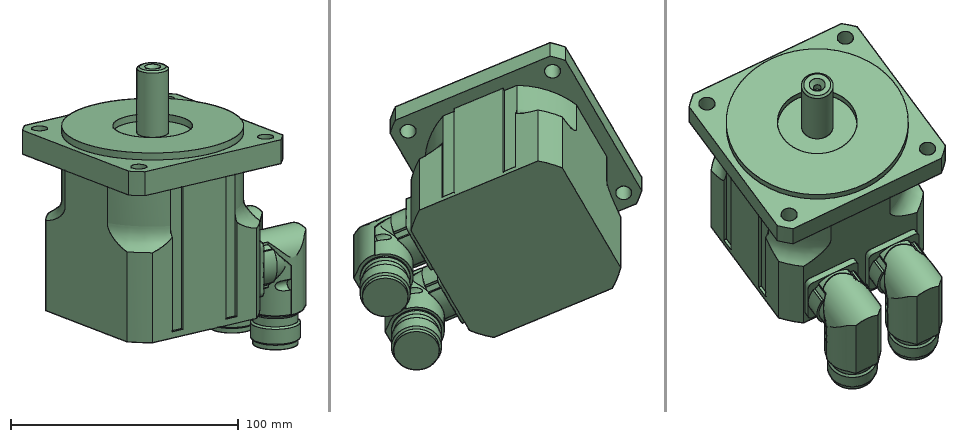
import cadquery as cq
import math


flange_side = 86.0
flange_corner_radius = 57.3
flange_thickness = 11.0
pilot_diameter = 80.0
pilot_height = 3.2
pilot_recess_diameter = 35.0
pilot_recess_depth = 3.2
mounting_hole_diameter = 7.0
mounting_hole_pitch = 70.7

shaft_diameter = 14.0
shaft_length = 30.4
shaft_chamfer_radial = 1.1
shaft_chamfer_height = 0.8
center_hole_mouth = 7.0
center_hole_diameter = 3.2
countersink_depth = 2.2
center_hole_depth = 5.4

housing_width = 74.1
housing_bottom = -82.0
housing_corner_radius = 47.1
relief_radius = pilot_diameter / 2
relief_straight_bottom = -30.8
relief_fillet = 10.2
groove_inner = 12.0
groove_outer = 18.0
groove_depth = 1.3
groove_bottom = -79.1

connector_spacing = 31.1
connector_y = 56.4
connector_z = -64.2
body_bottom = -23.5
core_radius = 12.2
core_top = 2.7
arm_radius = 11.7
nut_radius = 12.8
nut_end = -9.0
notch_inner = 7.5
notch_chamfer = 1.7
plate_thickness = 2.8
plate_corner = 2.5
cover_radius = 12.6
cover_top_radius = 12.9
cover_back = 12.6
cover_back_half_width = 5.6
cover_facet_start = 9.5
cover_split = -1.0
cover_miter_top = -15.3
screw_groove_radius = 2.4
screw_groove_x = 12.0
screw_groove_z = -9.8

plug_ring_radius = 11.0
plug_neck_radius = 20.0 / 2
plug_collar_height = 1.0
plug_cone_height = 1.1
plug_neck_height = 3.8
plug_ring_chamfer = 0.8
plug_ring_height = 6.9
plug_length = 16.4

arm_start = housing_width / 2 - connector_y


def cylinder_z(radius, bottom, top):
    return cq.Workplane("XY").workplane(offset=bottom).circle(radius).extrude(top - bottom)


def cylinder_y(radius, start, end, x=0, z=0):
    plane = cq.Plane(origin=(x, start, z), xDir=(1, 0, 0), normal=(0, 1, 0))
    return cq.Workplane(plane).circle(radius).extrude(end - start)


def block(x_range, y_range, z_range):
    size = [high - low for low, high in (x_range, y_range, z_range)]
    return cq.Workplane("XY").box(*size, centered=False).translate((x_range[0], y_range[0], z_range[0]))


def make_flange():
    plate = cq.Workplane("XY").rect(flange_side, flange_side).extrude(-flange_thickness)
    plate = plate.intersect(cylinder_z(flange_corner_radius, -flange_thickness, 0))
    holes = (
        cq.Workplane("XY")
        .rect(mounting_hole_pitch, mounting_hole_pitch, forConstruction=True)
        .vertices()
        .circle(mounting_hole_diameter / 2)
        .extrude(-flange_thickness)
    )
    pilot = cylinder_z(pilot_diameter / 2, 0, pilot_height)
    recess = cylinder_z(pilot_recess_diameter / 2, pilot_height - pilot_recess_depth, pilot_height)
    return plate.cut(holes).union(pilot).cut(recess)


def make_shaft():
    """Chamfered shaft with a countersunk center hole in its end."""
    radius = shaft_diameter / 2
    mouth = center_hole_mouth / 2
    bore = center_hole_diameter / 2
    outline = [
        (0, -flange_thickness),
        (radius, -flange_thickness),
        (radius, shaft_length - shaft_chamfer_height),
        (radius - shaft_chamfer_radial, shaft_length),
        (mouth, shaft_length),
        (bore, shaft_length - countersink_depth),
        (bore, shaft_length - center_hole_depth),
        (0, shaft_length - center_hole_depth),
    ]
    return cq.Workplane("XZ").polyline(outline).close().revolve(360, (0, 0), (0, 1))


def make_round_core():
    """Body of revolution that rounds the housing corners and narrows below the flange."""
    corner_step = housing_corner_radius - relief_radius
    fillet_drop = math.sqrt(relief_fillet**2 - (relief_fillet - corner_step) ** 2)
    half_angle = math.asin(fillet_drop / relief_fillet) / 2
    fillet_middle = (
        relief_radius + relief_fillet * (1 - math.cos(half_angle)),
        relief_straight_bottom - relief_fillet * math.sin(half_angle),
    )
    return (
        cq.Workplane("XZ")
        .moveTo(0, housing_bottom)
        .lineTo(housing_corner_radius, housing_bottom)
        .lineTo(housing_corner_radius, relief_straight_bottom - fillet_drop)
        .threePointArc(fillet_middle, (relief_radius, relief_straight_bottom))
        .lineTo(relief_radius, -flange_thickness)
        .lineTo(0, -flange_thickness)
        .close()
        .revolve(360, (0, 0), (0, 1))
    )


def make_motor():
    half = housing_width / 2
    housing = block((-half, half), (-half, half), (housing_bottom, -flange_thickness))
    housing = housing.intersect(make_round_core())
    for x_range in ((-half, groove_depth - half), (half - groove_depth, half)):
        for y_range in ((-groove_outer, -groove_inner), (groove_inner, groove_outer)):
            housing = housing.cut(block(x_range, y_range, (groove_bottom, -flange_thickness)))
    return housing.union(make_flange()).union(make_shaft())


def make_nut():
    """Mounting plate and round nut with a chamfered notch at each of its four corners."""
    plate_end = arm_start + plate_thickness
    plate = block((-nut_radius, nut_radius), (arm_start, plate_end), (-nut_radius, nut_radius))
    plate = plate.edges("|Y").fillet(plate_corner)
    nut = cylinder_y(nut_radius, plate_end, nut_end)
    notch = (
        cq.Workplane("XZ", origin=(0, nut_end, 0))
        .moveTo(notch_inner, nut_radius)
        .lineTo(notch_inner, notch_inner + notch_chamfer)
        .lineTo(notch_inner + notch_chamfer, notch_inner)
        .lineTo(nut_radius, notch_inner)
        .lineTo(nut_radius, nut_radius)
        .close()
        .extrude(nut_end - plate_end)
    )
    for quarter in range(4):
        nut = nut.cut(notch.rotate((0, 0, 0), (0, 1, 0), 90 * quarter))
    return plate.union(nut)


def make_cover():
    """Larger back and top of the elbow, ending at a vertical step and a sloping step."""
    shoulder_y = -math.sqrt(cover_radius**2 - notch_inner**2)
    facet_x = math.sqrt(cover_radius**2 - cover_facet_start**2)
    height = cover_top_radius - body_bottom
    column = (
        cq.Workplane("XY", origin=(0, 0, body_bottom))
        .moveTo(notch_inner, cover_miter_top)
        .lineTo(notch_inner, shoulder_y)
        .threePointArc((cover_radius, 0), (facet_x, cover_facet_start))
        .lineTo(cover_back_half_width, cover_back)
        .lineTo(-cover_back_half_width, cover_back)
        .lineTo(-facet_x, cover_facet_start)
        .threePointArc((-cover_radius, 0), (-notch_inner, shoulder_y))
        .lineTo(-notch_inner, cover_miter_top)
        .close()
        .extrude(height)
    )
    side_outline = [
        (cover_back, body_bottom),
        (cover_split, body_bottom),
        (cover_split, cover_split),
        (cover_miter_top, cover_top_radius),
        (cover_back, cover_top_radius),
    ]
    side = (
        cq.Workplane("YZ", origin=(-cover_top_radius, 0, 0))
        .polyline(side_outline)
        .close()
        .extrude(2 * cover_top_radius)
    )
    y_range = (cover_miter_top, cover_back)
    rounded_top = cylinder_y(cover_top_radius, *y_range).union(
        block((-cover_top_radius, cover_top_radius), y_range, (body_bottom, 0))
    )
    return column.intersect(side).intersect(rounded_top)


def make_plug():
    collar_bottom = body_bottom - plug_collar_height
    cone_bottom = collar_bottom - plug_cone_height
    neck_bottom = cone_bottom - plug_neck_height
    ring_top = neck_bottom - plug_ring_chamfer
    ring_bottom = ring_top - plug_ring_height
    outline = [
        (0, body_bottom),
        (plug_ring_radius, body_bottom),
        (plug_ring_radius, collar_bottom),
        (plug_neck_radius, cone_bottom),
        (plug_neck_radius, neck_bottom),
        (plug_ring_radius, ring_top),
        (plug_ring_radius, ring_bottom),
        (plug_neck_radius, ring_bottom - plug_ring_chamfer),
        (plug_neck_radius, body_bottom - plug_length),
        (0, body_bottom - plug_length),
    ]
    return cq.Workplane("XZ").polyline(outline).close().revolve(360, (0, 0), (0, 1))


def make_connector(x):
    """Elbow with its plug; the arm meets the back face of the motor."""
    elbow = cylinder_z(core_radius, body_bottom, core_top)
    elbow = elbow.union(cylinder_y(arm_radius, arm_start, 0))
    for side in (-1, 1):
        groove = cylinder_y(screw_groove_radius, nut_end, 0, side * screw_groove_x, screw_groove_z)
        elbow = elbow.cut(groove)
    connector = elbow.union(make_nut()).union(make_cover()).union(make_plug())
    return connector.translate((x, connector_y, connector_z))


motor = make_motor()
connectors = [make_connector(side * connector_spacing / 2) for side in (-1, 1)]

result = cq.Compound.makeCompound([motor.val(), *[connector.val() for connector in connectors]])